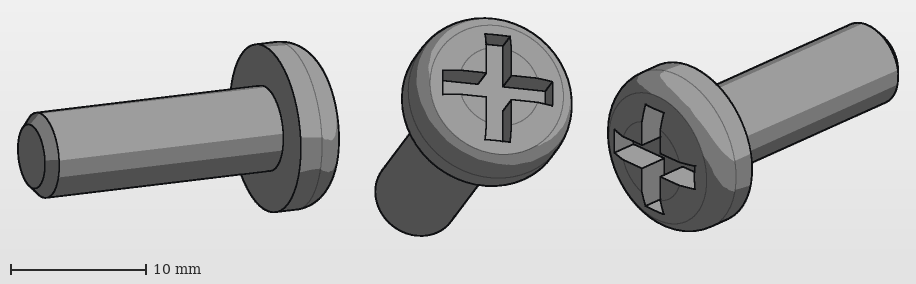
import cadquery as cq
import math

total_length = 23.38
head_diameter = 12.5
head_height = 4.33
shank_diameter = 6.35
tip_chamfer = 0.8

rim_height = 1.7
shoulder_seam_radius = 5.12
shoulder_seam_drop = 0.68
crown_radius = 3.09
dome_radius = 12.85

recess_span = 8.42
recess_width = 1.92
recess_depth = 2.34

head_radius = head_diameter / 2
shank_radius = shank_diameter / 2
shank_length = total_length - head_height
seam_height = head_height - shoulder_seam_drop


def arc_middle(start, end, radius):
    """Middle point of the minor arc that bulges to the right of its chord."""
    run = end[0] - start[0]
    rise = end[1] - start[1]
    chord = math.hypot(run, rise)
    bulge = radius - math.sqrt(radius**2 - (chord / 2) ** 2)
    middle_x = (start[0] + end[0]) / 2 + bulge * rise / chord
    middle_y = (start[1] + end[1]) / 2 - bulge * run / chord
    return middle_x, middle_y


def make_body():
    """Revolve the head and the chamfered shank about the Y axis."""
    rim_top = (head_radius, rim_height)
    seam = (shoulder_seam_radius, seam_height)
    crown_edge = (crown_radius, head_height)
    seam_inset = head_radius - shoulder_seam_radius
    seam_rise = seam_height - rim_height
    shoulder_radius = (seam_inset**2 + seam_rise**2) / (2 * seam_inset)
    return (
        cq.Workplane("XY")
        .moveTo(0, -shank_length)
        .lineTo(shank_radius - tip_chamfer, -shank_length)
        .lineTo(shank_radius, -shank_length + tip_chamfer)
        .lineTo(shank_radius, 0)
        .lineTo(head_radius, 0)
        .lineTo(*rim_top)
        .threePointArc(arc_middle(rim_top, seam, shoulder_radius), seam)
        .threePointArc(arc_middle(seam, crown_edge, dome_radius), crown_edge)
        .lineTo(0, head_height)
        .close()
        .revolve(360, (0, 0, 0), (0, 1, 0))
    )


def make_recess():
    """Two crossed blind slots sunk into the crown."""
    crown_plane = cq.Workplane("XZ", origin=(0, head_height, 0))
    slot_along_x = crown_plane.rect(recess_span, recess_width).extrude(recess_depth)
    slot_along_z = crown_plane.rect(recess_width, recess_span).extrude(recess_depth)
    return slot_along_x.union(slot_along_z)


result = make_body().cut(make_recess())